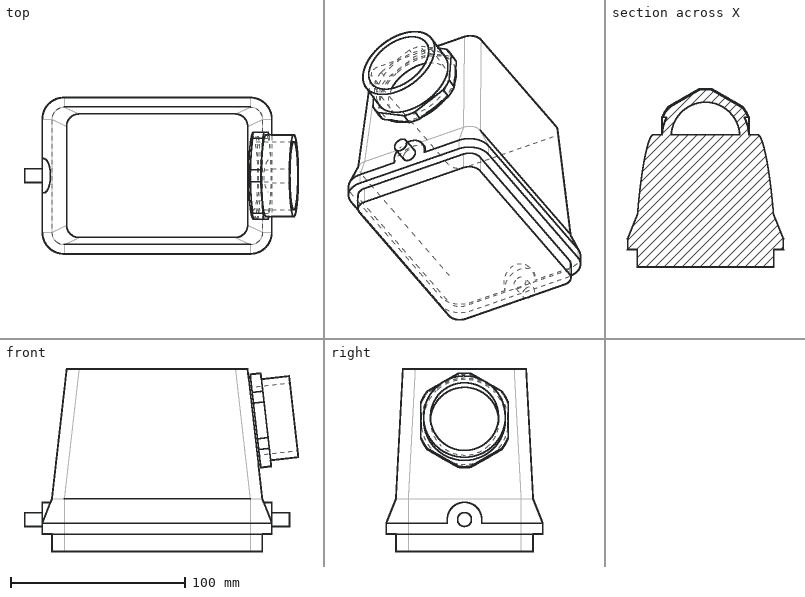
import cadquery as cq
import math

flange_length = 132.0
flange_width = 90.0
flange_step = 5.5
base_length = flange_length - 2 * flange_step
base_width = flange_width - 2 * flange_step
base_corner_radius = 7.1
flange_corner_radius = base_corner_radius + flange_step

flange_bottom = 10.0
flange_top = 16.4
hood_bottom = 30.2
hood_top = 105.0

top_length = 104.0
top_width = 71.0

pin_diameter = 8.0
pin_span = 152.4
pin_height = 18.4
pin_pad_radius = 9.9

gland_height = 75.0
neck_diameter = 50.0
neck_length = 1.1
nut_across_flats = 50.0
nut_corner_diameter = 54.1
nut_length = 6.1
sleeve_diameter = 47.0
sleeve_length = 16.0
bore_diameter = 39.2
gland_root = 3.1


def rounded_rectangle(length, width, radius):
    return cq.Sketch().rect(length, width).vertices().fillet(radius)


def prism(length, width, radius, bottom, top):
    """Upright block with rounded vertical corners."""
    section = rounded_rectangle(length, width, radius)
    return cq.Workplane("XY", origin=(0, 0, bottom)).placeSketch(section).extrude(top - bottom)


def taper(lower_section, upper_section, bottom, top):
    """Straight-sided transition between two rounded rectangles."""
    raised_section = upper_section.moved(cq.Location(cq.Vector(0, 0, top - bottom)))
    plane = cq.Workplane("XY", origin=(0, 0, bottom))
    return plane.placeSketch(lower_section, raised_section).loft(ruled=True)


def make_body():
    base_section = rounded_rectangle(base_length, base_width, base_corner_radius)
    flange_section = rounded_rectangle(flange_length, flange_width, flange_corner_radius)
    top_section = rounded_rectangle(top_length, top_width, base_corner_radius)

    base = prism(base_length, base_width, base_corner_radius, 0, flange_bottom)
    flange = prism(flange_length, flange_width, flange_corner_radius, flange_bottom, flange_top)
    shoulder = taper(flange_section, base_section, flange_top, hood_bottom)
    hood = taper(base_section, top_section, hood_bottom, hood_top)
    return base.union(flange).union(shoulder).union(hood)


def make_pins():
    """Round-topped pads flush with the flange ends, each with a pin."""
    pad_base_height = pin_height - flange_bottom
    pads = (
        cq.Workplane("YZ", origin=(0, 0, pin_height))
        .moveTo(-pin_pad_radius, -pad_base_height)
        .lineTo(-pin_pad_radius, 0)
        .threePointArc((0, pin_pad_radius), (pin_pad_radius, 0))
        .lineTo(pin_pad_radius, -pad_base_height)
        .close()
        .extrude(flange_length / 2, both=True)
    )
    pins = (
        cq.Workplane("YZ", origin=(0, 0, pin_height))
        .circle(pin_diameter / 2)
        .extrude(pin_span / 2, both=True)
    )
    return pads.union(pins)


def gland_plane():
    """Plane on the +X hood wall whose normal is the gland axis; local x is Y."""
    wall_setback = (base_length - top_length) / 2
    wall_tilt = math.atan2(wall_setback, hood_top - hood_bottom)
    wall_x = top_length / 2 + (hood_top - gland_height) * math.tan(wall_tilt)
    return cq.Plane(
        origin=(wall_x, 0, gland_height),
        xDir=(0, 1, 0),
        normal=(math.cos(wall_tilt), 0, math.sin(wall_tilt)),
    )


def make_gland(plane):
    neck = (
        cq.Workplane(plane)
        .workplane(offset=-gland_root)
        .circle(neck_diameter / 2)
        .extrude(gland_root + neck_length)
    )
    nut_plane = cq.Workplane(plane).workplane(offset=neck_length)
    hexagon = nut_plane.polygon(6, nut_across_flats, circumscribed=True).extrude(nut_length)
    nut = hexagon.intersect(nut_plane.circle(nut_corner_diameter / 2).extrude(nut_length))
    sleeve = (
        cq.Workplane(plane)
        .workplane(offset=neck_length + nut_length)
        .circle(sleeve_diameter / 2)
        .extrude(sleeve_length)
    )
    return neck.union(nut).union(sleeve)


def make_bore(plane):
    """Cable entry, running from the sleeve mouth to the hood wall."""
    bore_depth = neck_length + nut_length + sleeve_length
    return cq.Workplane(plane).circle(bore_diameter / 2).extrude(bore_depth)


wall_plane = gland_plane()
result = make_body().union(make_pins()).union(make_gland(wall_plane)).cut(make_bore(wall_plane))